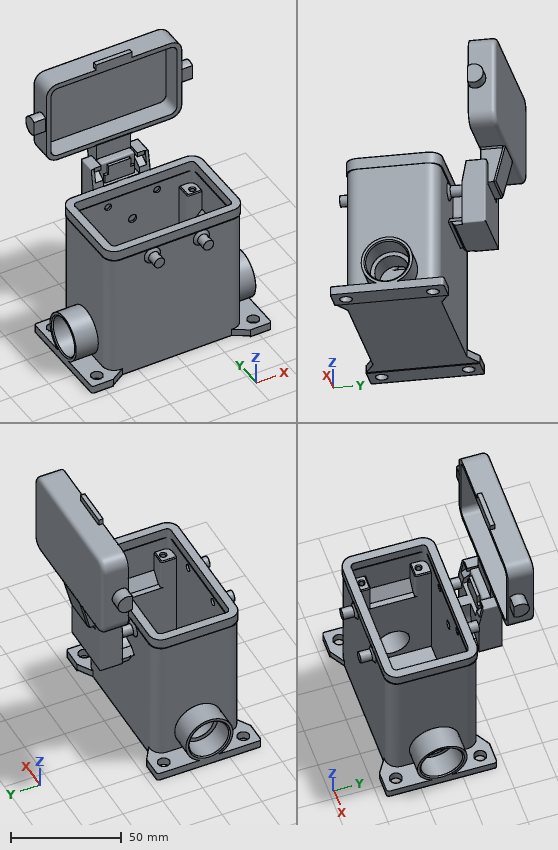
import cadquery as cq
import math

HOUSING_LENGTH = 70.5
BODY_WIDTH = 43.2
COLLAR_LENGTH = 70.9
COLLAR_WIDTH = 44.1
CORNER_RADIUS = 6.0
BODY_BOTTOM = 0.5
BODY_TOP = 67.6
COLLAR_TOP = 73.0

FLOOR_TOP = 4.0
MOUTH_LENGTH = 62.6
MOUTH_WIDTH = 36.0
MOUTH_CORNER_RADIUS = 2.0
CAVITY_UNDERCUT = 0.3
CAVITY_CORNER_RADIUS = 3.5
CAVITY_LENGTH = MOUTH_LENGTH + 2 * CAVITY_UNDERCUT
CAVITY_WIDTH = MOUTH_WIDTH + 2 * CAVITY_UNDERCUT

POST_TOP = 60.7
POST_INNER_X = 24.2
POST_INNER_Y = 10.5
POST_EDGE_RADIUS = 1.0
POST_HOLE_X = 28.3
POST_HOLE_Y = 13.5
POST_HOLE_DIAMETER = 2.3
POST_HOLE_CHAMFER = 0.5
POST_HOLE_DEPTH = 12.0
LEDGE_TOP = 45.0
LEDGE_SLOPE_START_X = 27.0
LEDGE_WALL_TOP = 50.0

OVERALL_LENGTH = 93.5
FOOT_WIDTH = 52.3
FOOT_TOP = 4.0
FOOT_SLANT_START_X = 35.7
FOOT_SLANT_END_X = 28.4
FOOT_CORNER_RADIUS = 1.2
FOOT_HOLE_X = 40.7
FOOT_HOLE_Y = 20.0
FOOT_HOLE_DIAMETER = 5.7

ENTRY_Z = 14.7
ENTRY_DIAMETER = 23.6
ENTRY_BORE_DIAMETER = 19.8
ENTRY_BORE_CHAMFER = 0.6
CABLE_HOLE_DIAMETER = 15.8

PEG_X = 12.75
PEG_Z = 63.4
PEG_DIAMETER = 5.3
PEG_TIP_Y = 28.15
PEG_COLLAR_DIAMETER = 8.4
PEG_COLLAR_HEIGHT = 1.2
PEG_DIMPLE_DIAMETER = 3.4
WALL_DIMPLE_DEPTH = 1.0

MOUNT_TOP = 67.1
MOUNT_FILLET_TOP = 59.0
MOUNT_FILLET_RADIUS = 8.0
MOUNT_STEM_HALF_WIDTH = 2.6
MOUNT_BASE = 47.8
MOUNT_BACK_Y = 28.1
MOUNT_SCREW_Z = 51.8
MOUNT_SCREW_DIAMETER = 4.2

BRACKET_WIDTH = 29.7
BRACKET_BOTTOM = 45.9
BRACKET_TOP = 77.5
BRACKET_BACK_Y = 39.1
BRACKET_TOP_FRONT_Y = 30.0
BRACKET_EDGE_RADIUS = 0.5
LIP_FRONT_Y = 23.3
LIP_END_CHAMFER = 1.2
CHEEK_THICKNESS = 1.6
SLOT_WIDTH = 18.8
POCKET_TOP = 75.2
POCKET_BACK_Y = 34.0
POCKET_ROOF_FRONT_Y = 30.4
POCKET_FLOOR_BACK_Z = 74.0
POCKET_FLOOR_FRONT_Z = 70.0

LID_LENGTH = 70.5
LID_BOTTOM = 85.9
LID_TOP = 129.5
LID_FRONT_Y = 35.1
LID_BACK_Y = 47.85
LID_CORNER_RADIUS = 6.0
LID_BACK_RADIUS = 2.2
LID_RIM = 2.5
LID_RECESS_DEPTH = 9.8
LID_MIDDLE_Z = (LID_TOP + LID_BOTTOM) / 2
LID_HEIGHT = LID_TOP - LID_BOTTOM

TAB_WIDTH = 18.8
TAB_TOP = 132.5
TAB_THICKNESS = 2.2

TRUNNION_SPAN = 82.6
TRUNNION_DIAMETER = 9.2
TRUNNION_Y = 38.6
TRUNNION_FLAT_Y = 35.9

ARM_WIDTH = 17.8
ARM_FRONT_Y = 35.5
ARM_BOTTOM = 68.5
ARM_BOTTOM_BACK_Y = 42.2
ARM_TOP_BACK_Y = 47.0
ARM_EDGE_CHAMFER = 0.7
ARM_ROOT_FLARE = 0.8
KNUCKLE_FRONT_Y = 31.4
KNUCKLE_EDGE_RADIUS = 0.9
KNUCKLE_PAD_FRONT_Y = 30.0
KNUCKLE_PAD_WIDTH = 11.6
KNUCKLE_PAD_TOP = 76.2
KNUCKLE_PAD_BASE_WIDTH = 15.4
KNUCKLE_PAD_BASE_TOP = 71.5


def rounded_block(length, width, bottom, top, radius):
    """Upright block centred on the Z axis, with round vertical edges."""
    block = cq.Workplane("XY").workplane(offset=bottom).rect(length, width).extrude(top - bottom)
    return block.edges("|Z").fillet(radius)


def box_between(x_range, y_range, z_range):
    """Box given by its limits along each axis."""
    size = [high - low for low, high in (x_range, y_range, z_range)]
    corner = (x_range[0], y_range[0], z_range[0])
    return cq.Workplane("XY").box(*size, centered=False).translate(corner)


def cylinder_along_x(diameter, start_x, end_x, y, z):
    axis = cq.Vector(1, 0, 0)
    length = end_x - start_x
    return cq.Workplane(cq.Solid.makeCylinder(diameter / 2, length, cq.Vector(start_x, y, z), axis))


def extrude_profile_along_x(points, start_x, end_x):
    """Prism of a closed (y, z) outline between two X positions."""
    profile = cq.Workplane("YZ").workplane(offset=start_x).polyline(points).close()
    return profile.extrude(end_x - start_x)


def on_both_ends(shape):
    """The shape together with its mirror image at the other end of the part."""
    return shape.union(shape.mirror("YZ"))



def make_shell():
    body = rounded_block(HOUSING_LENGTH, BODY_WIDTH, BODY_BOTTOM, BODY_TOP, CORNER_RADIUS)
    collar = rounded_block(COLLAR_LENGTH, COLLAR_WIDTH, BODY_TOP, COLLAR_TOP, CORNER_RADIUS)
    return body.union(collar)


def make_feet():
    end_x = OVERALL_LENGTH / 2
    half_width = FOOT_WIDTH / 2
    half_body = BODY_WIDTH / 2
    outline = [
        (FOOT_SLANT_END_X, -half_body),
        (FOOT_SLANT_START_X, -half_width),
        (end_x, -half_width),
        (end_x, half_width),
        (FOOT_SLANT_START_X, half_width),
        (FOOT_SLANT_END_X, half_body),
    ]
    foot = cq.Workplane("XY").polyline(outline).close().extrude(FOOT_TOP)
    foot = foot.edges("|Z and >X").fillet(FOOT_CORNER_RADIUS)
    inner_part = box_between(
        (FOOT_SLANT_END_X, FOOT_SLANT_START_X), (-half_width, half_width), (0, BODY_BOTTOM)
    )
    foot = foot.cut(inner_part)
    holes = (
        cq.Workplane("XY")
        .pushPoints([(FOOT_HOLE_X, -FOOT_HOLE_Y), (FOOT_HOLE_X, FOOT_HOLE_Y)])
        .circle(FOOT_HOLE_DIAMETER / 2)
        .extrude(FOOT_TOP)
    )
    return on_both_ends(foot.cut(holes))


def make_cavity():
    """The hollow of the housing: the interior less its corner posts and end ledges."""
    mouth = rounded_block(MOUTH_LENGTH, MOUTH_WIDTH, FLOOR_TOP, COLLAR_TOP, MOUTH_CORNER_RADIUS)
    chamber = rounded_block(CAVITY_LENGTH, CAVITY_WIDTH, FLOOR_TOP, BODY_TOP, CAVITY_CORNER_RADIUS)
    cavity = mouth.union(chamber)

    half_length = CAVITY_LENGTH / 2
    half_width = CAVITY_WIDTH / 2
    ledge_outline = [
        (POST_INNER_X, FLOOR_TOP),
        (half_length, FLOOR_TOP),
        (half_length, LEDGE_WALL_TOP),
        (LEDGE_SLOPE_START_X, LEDGE_TOP),
        (POST_INNER_X, LEDGE_TOP),
    ]
    ledge = cq.Workplane("XZ", origin=(0, half_width, 0)).polyline(ledge_outline).close()
    cavity = cavity.cut(on_both_ends(ledge.extrude(CAVITY_WIDTH)))

    for side in (-1, 1):
        y_range = sorted((side * POST_INNER_Y, side * half_width))
        post = box_between((POST_INNER_X, half_length), y_range, (FLOOR_TOP, POST_TOP))
        inner_edge = "<Y" if side > 0 else ">Y"
        post = post.edges("|Z and <X").edges(inner_edge).fillet(POST_EDGE_RADIUS)
        hole = (
            cq.Workplane("XY", origin=(POST_HOLE_X, side * POST_HOLE_Y, POST_TOP))
            .circle(POST_HOLE_DIAMETER / 2)
            .extrude(-POST_HOLE_DEPTH)
        )
        post = post.cut(hole).edges("%CIRCLE and >Z").chamfer(POST_HOLE_CHAMFER)
        cavity = cavity.cut(on_both_ends(post))
    return cavity


def make_entry_tubes():
    tube = cylinder_along_x(ENTRY_DIAMETER, HOUSING_LENGTH / 2, OVERALL_LENGTH / 2, 0, ENTRY_Z)
    return on_both_ends(tube)


def make_entry_bores():
    """Counterbored cable holes, open to the cavity."""
    mouth_x = OVERALL_LENGTH / 2
    bore = cylinder_along_x(ENTRY_BORE_DIAMETER, HOUSING_LENGTH / 2, mouth_x, 0, ENTRY_Z)
    cable_hole = cylinder_along_x(CABLE_HOLE_DIAMETER, 0, mouth_x, 0, ENTRY_Z)
    bore_radius = ENTRY_BORE_DIAMETER / 2
    lead_in = cq.Workplane(
        cq.Solid.makeCone(
            bore_radius,
            bore_radius + ENTRY_BORE_CHAMFER,
            ENTRY_BORE_CHAMFER,
            cq.Vector(mouth_x - ENTRY_BORE_CHAMFER, 0, ENTRY_Z),
            cq.Vector(1, 0, 0),
        )
    )
    return on_both_ends(bore.union(cable_hole).union(lead_in))


def make_pegs():
    wall_y = BODY_WIDTH / 2
    collar_y = wall_y + PEG_COLLAR_HEIGHT
    root_y = (BODY_WIDTH + MOUTH_WIDTH) / 4
    half_section = [
        (0, root_y),
        (PEG_COLLAR_DIAMETER / 2, root_y),
        (PEG_COLLAR_DIAMETER / 2, wall_y),
        (PEG_DIAMETER / 2, collar_y),
        (PEG_DIAMETER / 2, PEG_TIP_Y),
        (0, PEG_TIP_Y),
    ]
    peg = cq.Workplane("XY").polyline(half_section).close().revolve(360, (0, 0), (0, 1))
    pair = on_both_ends(peg.translate((PEG_X, 0, PEG_Z)))
    return pair.union(pair.mirror("XZ"))


def make_wall_dimples():
    """Shallow recesses in the cavity walls behind the pegs and the bracket screw."""
    reach = CAVITY_WIDTH / 2 + WALL_DIMPLE_DEPTH
    behind_pegs = (
        cq.Workplane("XZ", origin=(0, reach, 0))
        .pushPoints([(-PEG_X, PEG_Z), (PEG_X, PEG_Z)])
        .circle(PEG_DIMPLE_DIAMETER / 2)
        .extrude(2 * reach)
    )
    behind_screw = (
        cq.Workplane("XZ", origin=(0, reach, MOUNT_SCREW_Z))
        .circle(MOUNT_SCREW_DIAMETER / 2)
        .extrude(reach)
    )
    return behind_pegs.union(behind_screw)


def make_hinge_mount():
    """Stem on the back wall that widens downwards through concave flanks and a bevel."""
    flank_end_x = MOUNT_STEM_HALF_WIDTH + MOUNT_FILLET_RADIUS
    flank_end_z = MOUNT_FILLET_TOP - MOUNT_FILLET_RADIUS
    base_x = flank_end_x + flank_end_z - MOUNT_BASE
    arc_inset = MOUNT_FILLET_RADIUS * (1 - math.sqrt(0.5))
    arc_middle_x = MOUNT_STEM_HALF_WIDTH + arc_inset
    arc_middle_z = flank_end_z + arc_inset
    outline = (
        cq.Workplane("XZ", origin=(0, MOUNT_BACK_Y, 0))
        .moveTo(-MOUNT_STEM_HALF_WIDTH, MOUNT_TOP)
        .lineTo(MOUNT_STEM_HALF_WIDTH, MOUNT_TOP)
        .lineTo(MOUNT_STEM_HALF_WIDTH, MOUNT_FILLET_TOP)
        .threePointArc((arc_middle_x, arc_middle_z), (flank_end_x, flank_end_z))
        .lineTo(base_x, MOUNT_BASE)
        .lineTo(-base_x, MOUNT_BASE)
        .lineTo(-flank_end_x, flank_end_z)
        .threePointArc((-arc_middle_x, arc_middle_z), (-MOUNT_STEM_HALF_WIDTH, MOUNT_FILLET_TOP))
        .close()
    )
    stem = outline.extrude(MOUNT_BACK_Y - BODY_WIDTH / 2)
    lip_outline = [
        (MOUNT_BACK_Y, BRACKET_BOTTOM),
        (LIP_FRONT_Y + LIP_END_CHAMFER, BRACKET_BOTTOM),
        (LIP_FRONT_Y, BRACKET_BOTTOM + LIP_END_CHAMFER),
        (LIP_FRONT_Y, MOUNT_BASE),
        (MOUNT_BACK_Y, MOUNT_BASE),
    ]
    return stem.union(extrude_profile_along_x(lip_outline, -base_x, base_x))


def make_bracket():
    """Hinge bracket: two cheeks with front pockets, and a slot for the lid knuckle."""
    half_width = BRACKET_WIDTH / 2
    half_slot = SLOT_WIDTH / 2
    side_outline = [
        (MOUNT_BACK_Y, BRACKET_BOTTOM),
        (BRACKET_BACK_Y, BRACKET_BOTTOM),
        (BRACKET_BACK_Y, BRACKET_TOP),
        (BRACKET_TOP_FRONT_Y, BRACKET_TOP),
        (MOUNT_BACK_Y, MOUNT_TOP),
    ]
    bracket = extrude_profile_along_x(side_outline, -half_width, half_width)
    bracket = bracket.edges("|Y or (|Z and >Y)").fillet(BRACKET_EDGE_RADIUS)

    slot = box_between(
        (-half_slot, half_slot), (MOUNT_BACK_Y, BRACKET_BACK_Y), (MOUNT_TOP, BRACKET_TOP)
    )
    pocket_outline = [
        (MOUNT_BACK_Y, POCKET_FLOOR_FRONT_Z),
        (POCKET_BACK_Y, POCKET_FLOOR_BACK_Z),
        (POCKET_BACK_Y, POCKET_TOP),
        (POCKET_ROOF_FRONT_Y, POCKET_TOP),
        (POCKET_ROOF_FRONT_Y, BRACKET_TOP),
        (MOUNT_BACK_Y, BRACKET_TOP),
    ]
    pocket = extrude_profile_along_x(pocket_outline, half_slot, half_width - CHEEK_THICKNESS)
    return bracket.cut(slot).cut(on_both_ends(pocket))



def make_lid_pan():
    def upright_block(length, height, front_y, back_y, radius):
        block = (
            cq.Workplane("XZ", origin=(0, back_y, LID_MIDDLE_Z))
            .rect(length, height)
            .extrude(back_y - front_y)
        )
        return block.edges("|Y").fillet(radius)

    pan = upright_block(LID_LENGTH, LID_HEIGHT, LID_FRONT_Y, LID_BACK_Y, LID_CORNER_RADIUS)
    pan = pan.faces(">Y").edges().fillet(LID_BACK_RADIUS)
    recess = upright_block(
        LID_LENGTH - 2 * LID_RIM,
        LID_HEIGHT - 2 * LID_RIM,
        LID_FRONT_Y,
        LID_FRONT_Y + LID_RECESS_DEPTH,
        LID_CORNER_RADIUS - LID_RIM,
    )
    tab = box_between(
        (-TAB_WIDTH / 2, TAB_WIDTH / 2),
        (LID_FRONT_Y, LID_FRONT_Y + TAB_THICKNESS),
        (LID_TOP - LID_RIM, TAB_TOP),
    )
    return pan.cut(recess).union(tab)


def make_trunnions():
    """Flatted pins on both ends of the lid."""
    end_x = TRUNNION_SPAN / 2
    radius = TRUNNION_DIAMETER / 2
    root_x = LID_LENGTH / 2 - LID_RIM
    pin = cylinder_along_x(TRUNNION_DIAMETER, root_x, end_x, TRUNNION_Y, LID_MIDDLE_Z)
    flat = box_between(
        (root_x, end_x),
        (TRUNNION_Y - radius, TRUNNION_FLAT_Y),
        (LID_MIDDLE_Z - radius, LID_MIDDLE_Z + radius),
    )
    return on_both_ends(pin.cut(flat))


def make_arm():
    """Tapered arm below the lid, ending in the knuckle that sits in the bracket slot."""
    half_width = ARM_WIDTH / 2
    root_top = LID_BOTTOM + LID_RIM / 2
    arm_outline = [
        (ARM_FRONT_Y, ARM_BOTTOM),
        (ARM_BOTTOM_BACK_Y, ARM_BOTTOM),
        (ARM_TOP_BACK_Y, root_top),
        (ARM_FRONT_Y, root_top),
    ]
    arm = extrude_profile_along_x(arm_outline, -half_width, half_width)
    arm = arm.faces(">Y").edges("not >Z").chamfer(ARM_EDGE_CHAMFER)

    flare_outline = [
        (half_width, LID_BOTTOM - ARM_ROOT_FLARE),
        (half_width + ARM_ROOT_FLARE, LID_BOTTOM),
        (half_width + ARM_ROOT_FLARE, root_top),
        (half_width, root_top),
    ]
    flare = cq.Workplane("XZ", origin=(0, LID_BACK_Y - LID_BACK_RADIUS, 0))
    flare = flare.polyline(flare_outline).close().extrude(LID_BACK_Y - LID_BACK_RADIUS - ARM_FRONT_Y)

    knuckle = box_between(
        (-half_width, half_width), (KNUCKLE_FRONT_Y, ARM_FRONT_Y), (MOUNT_TOP, BRACKET_TOP)
    )
    knuckle = knuckle.edges("(|X and <Y and >Z) or (|Z and <Y) or (|Y and >Z)")
    knuckle = knuckle.fillet(KNUCKLE_EDGE_RADIUS)
    pad_y_range = (KNUCKLE_PAD_FRONT_Y, KNUCKLE_FRONT_Y)
    for width, top in (
        (KNUCKLE_PAD_WIDTH, KNUCKLE_PAD_TOP),
        (KNUCKLE_PAD_BASE_WIDTH, KNUCKLE_PAD_BASE_TOP),
    ):
        pad = box_between((-width / 2, width / 2), pad_y_range, (MOUNT_TOP, top))
        knuckle = knuckle.union(pad)
    return arm.union(on_both_ends(flare)).union(knuckle)


def make_housing():
    housing = make_shell().union(make_feet()).union(make_entry_tubes()).union(make_pegs())
    housing = housing.cut(make_cavity()).cut(make_entry_bores()).cut(make_wall_dimples())
    return housing.union(make_hinge_mount()).union(make_bracket())


def make_lid():
    return make_lid_pan().union(make_trunnions()).union(make_arm())


housing = make_housing()
lid = make_lid()
result = cq.Compound.makeCompound([housing.val(), lid.val()])